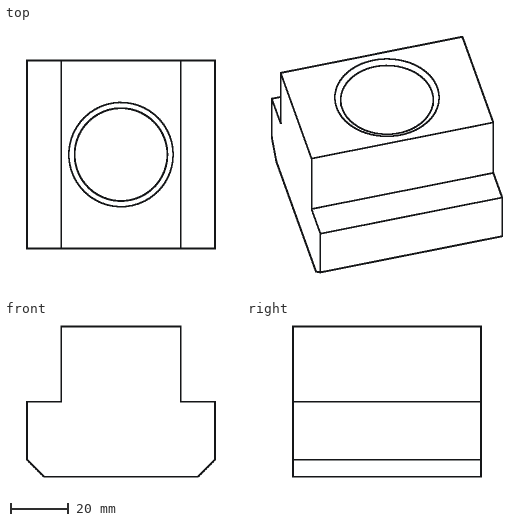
import cadquery as cq
import math

length = 65.0
base_width = 65.0
total_height = 52.0
base_height = total_height / 2
neck_width = 41.3
base_chamfer = 6.0

bore_diameter = 32.0
countersink_diameter = 36.0
countersink_slope = 30.0
countersink_depth = (
    (countersink_diameter - bore_diameter) / 2 * math.tan(math.radians(countersink_slope))
)


def make_body():
    """T-shaped block, centred in X and Y, with its underside at Z = 0."""
    base = cq.Workplane("XY").box(base_width, length, base_height, centered=(True, True, False))
    base = base.faces("<Z").edges("|Y").chamfer(base_chamfer)
    neck = cq.Workplane("XY").box(neck_width, length, total_height, centered=(True, True, False))
    return base.union(neck)


def make_bore():
    """Through bore and its conical countersink as one cutting solid."""
    bore = cq.Workplane("XY").circle(bore_diameter / 2).extrude(total_height)
    countersink = (
        cq.Workplane("XY", origin=(0, 0, total_height - countersink_depth))
        .circle(bore_diameter / 2)
        .workplane(offset=countersink_depth)
        .circle(countersink_diameter / 2)
        .loft(ruled=True)
    )
    return bore.union(countersink)


result = make_body().cut(make_bore())